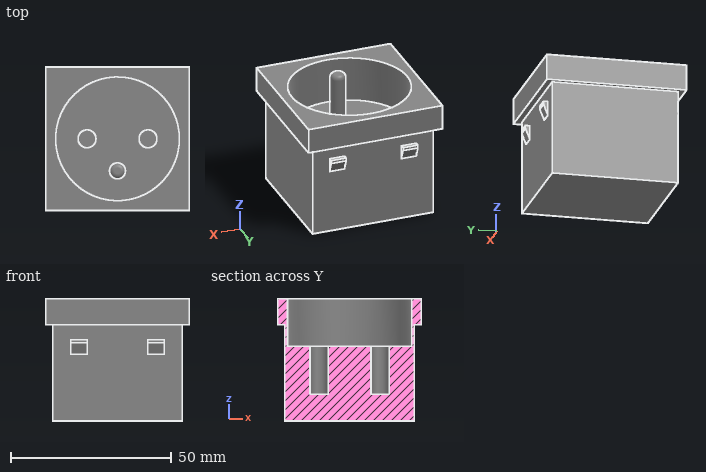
import cadquery as cq

BODY_WIDTH = 40.4
BODY_HEIGHT = 30.0
FLANGE_WIDTH = 44.8
TOTAL_HEIGHT = 38.2
FLANGE_HEIGHT = TOTAL_HEIGHT - BODY_HEIGHT

RECESS_DIAMETER = 38.6
RECESS_DEPTH = 14.8
RECESS_FLOOR = TOTAL_HEIGHT - RECESS_DEPTH

CONTACT_DIAMETER = 5.6
CONTACT_SPACING = 19.0
CONTACT_DEPTH = 15.0

PIN_DIAMETER = 5.0
PIN_TIP_DIAMETER = 2.0
PIN_OFFSET_Y = -10.0
PIN_HEIGHT = RECESS_DEPTH
PIN_ROUNDING = (PIN_DIAMETER - PIN_TIP_DIAMETER) / 2

CLIP_WIDTH = 5.0
CLIP_SPACING = 24.0
CLIP_HEIGHT = 4.5
CLIP_LIP = 1.0
CLIP_PROJECTION = 1.4
CLIP_DROP = 4.6
CLIP_TOP = BODY_HEIGHT - CLIP_DROP


def make_housing():
    """Square body carrying a wider square flange."""
    body = cq.Workplane("XY").box(BODY_WIDTH, BODY_WIDTH, BODY_HEIGHT, centered=(True, True, False))
    flange = (
        cq.Workplane("XY")
        .workplane(offset=BODY_HEIGHT)
        .box(FLANGE_WIDTH, FLANGE_WIDTH, FLANGE_HEIGHT, centered=(True, True, False))
    )
    return body.union(flange)


def make_recess():
    """Cutter for the round recess open at the top."""
    return cq.Workplane("XY").workplane(offset=RECESS_FLOOR).circle(RECESS_DIAMETER / 2).extrude(RECESS_DEPTH)


def make_contact_holes():
    """Cutter for the pair of blind contact holes below the recess floor."""
    return (
        cq.Workplane("XY")
        .workplane(offset=RECESS_FLOOR)
        .rarray(CONTACT_SPACING, 1, 2, 1)
        .circle(CONTACT_DIAMETER / 2)
        .extrude(-CONTACT_DEPTH)
    )


def make_earth_pin():
    """Round pin with a rounded tip."""
    return (
        cq.Workplane("XY")
        .workplane(offset=RECESS_FLOOR)
        .center(0, PIN_OFFSET_Y)
        .circle(PIN_DIAMETER / 2)
        .extrude(PIN_HEIGHT)
        .faces(">Z")
        .edges()
        .fillet(PIN_ROUNDING)
    )


def make_clip(x_center, side):
    """Wedge clip on the +Y (side = 1) or -Y (side = -1) wall, tapering inward toward its bottom."""
    wall = side * BODY_WIDTH / 2
    tip = wall + side * CLIP_PROJECTION
    return (
        cq.Workplane("YZ")
        .workplane(offset=x_center - CLIP_WIDTH / 2)
        .moveTo(wall, CLIP_TOP)
        .lineTo(tip, CLIP_TOP)
        .lineTo(tip, CLIP_TOP - CLIP_LIP)
        .lineTo(wall, CLIP_TOP - CLIP_HEIGHT)
        .close()
        .extrude(CLIP_WIDTH)
    )


result = make_housing().cut(make_recess()).cut(make_contact_holes()).union(make_earth_pin())
for side in (-1, 1):
    for x_center in (-CLIP_SPACING / 2, CLIP_SPACING / 2):
        result = result.union(make_clip(x_center, side))